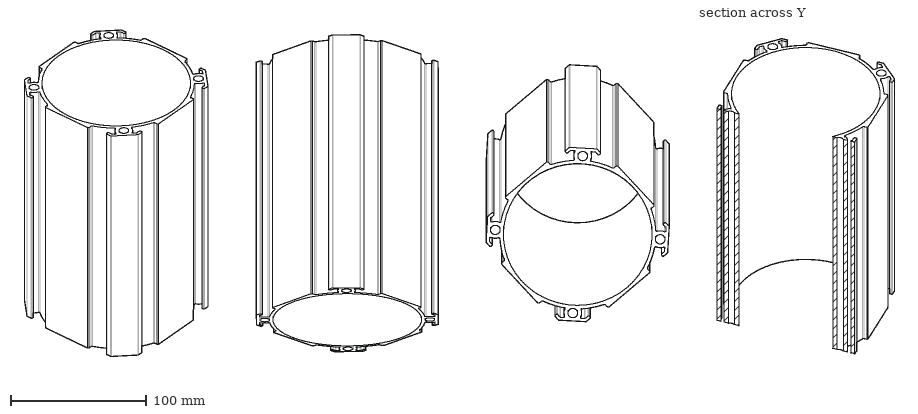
import cadquery as cq
import math

length = 200.0
across_flats = 115.0
bore_radius = 55.0
tube_radius = 57.8

pad_width = 42.0
pad_corner_chamfer = 0.8

screw_hole_radius = 3.5
screw_hole_offset = 43.2
boss_radius = 6.5

bracket_reach = 54.8
bracket_thickness = 2.5
lip_end = 35.8
lip_corner = 40.5
root_fillet_radius = 0.8
lip_rounding = 0.5

tolerance = 0.002


def extrude_outline(points):
    return cq.Workplane("XY").polyline(points).close().extrude(length)


def fillet_edges_at_radius(solid, center, radius):
    """Round the lengthwise edges lying on a circle about the point (center, center)."""
    def lies_on_circle(edge):
        middle = edge.Center()
        return abs(math.hypot(middle.x - center, middle.y - center) - radius) < tolerance

    return solid.edges("|Z").filter(lies_on_circle).fillet(root_fillet_radius)


def flat_pads():
    """Four flat pads standing on the tube, with small bevels on their edges."""
    pads = cq.Workplane("XY").rect(across_flats, pad_width).extrude(length)
    pads = pads.edges("|Z").chamfer(pad_corner_chamfer)
    return pads.union(pads.rotate((0, 0, 0), (0, 0, 1), 90))


def bracket():
    """Screw boss carrying a diagonal plate with two bent lips, at the +X +Y corner."""
    inner_reach = bracket_reach - bracket_thickness
    diagonal_shift = bracket_thickness * math.sqrt(2)
    inner_corner = bracket_reach + lip_corner - diagonal_shift - inner_reach
    plate = extrude_outline([
        (bracket_reach, lip_end),
        (bracket_reach, lip_corner),
        (lip_corner, bracket_reach),
        (lip_end, bracket_reach),
        (lip_end, inner_reach),
        (inner_corner, inner_reach),
        (inner_reach, inner_corner),
        (inner_reach, lip_end),
    ])
    plate = plate.edges("|Z").fillet(lip_rounding)
    boss = (
        cq.Workplane("XY")
        .center(screw_hole_offset, screw_hole_offset)
        .circle(boss_radius)
        .extrude(length)
    )
    envelope = extrude_outline([
        (0, 0),
        (bracket_reach, 0),
        (bracket_reach, lip_corner),
        (lip_corner, bracket_reach),
        (0, bracket_reach),
    ])
    corner = plate.union(boss.intersect(envelope))
    return fillet_edges_at_radius(corner, screw_hole_offset, boss_radius)


def screw_holes():
    return (
        cq.Workplane("XY")
        .rect(2 * screw_hole_offset, 2 * screw_hole_offset, forConstruction=True)
        .vertices()
        .circle(screw_hole_radius)
        .extrude(length)
    )


body = cq.Workplane("XY").circle(tube_radius).extrude(length)
body = body.intersect(cq.Workplane("XY").rect(across_flats, across_flats).extrude(length))
body = body.union(flat_pads())

corner_bracket = bracket()
for quarter in range(4):
    body = body.union(corner_bracket.rotate((0, 0, 0), (0, 0, 1), 90 * quarter))

body = fillet_edges_at_radius(body, 0, tube_radius)

bore = cq.Workplane("XY").circle(bore_radius).extrude(length)
result = body.cut(bore).cut(screw_holes())